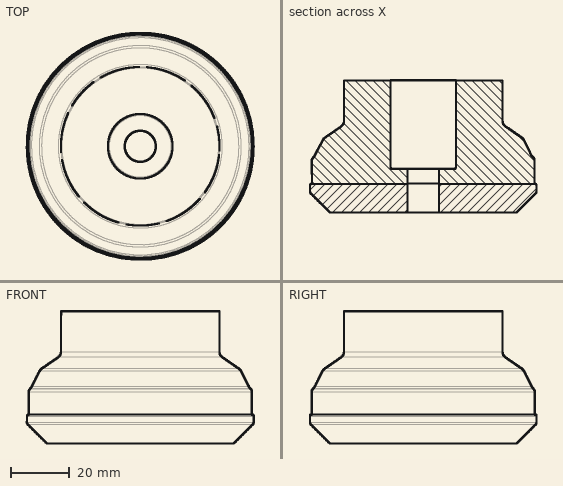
import cadquery as cq

total_height = 45.05
pad_height = 9.85

pad_radius = 77.22 / 2
pad_bottom_radius = 31.8
pad_flank_height = pad_radius - pad_bottom_radius
pad_corner_round = 1.0
pad_top_round = 0.6

neck_radius = 54.0 / 2
neck_base_z = 30.0
neck_top_round = 0.35
neck_base_round = 2.0
shoulder_radius = 34.05
shoulder_z = 25.15
shoulder_round = 2.5
rim_radius = 76.01 / 2
rim_top_z = 18.15
rim_top_round = 1.4
rim_bevel = 0.85
bevel_radius = rim_radius - rim_bevel
bevel_top_z = rim_top_z + rim_bevel
bevel_round = 2.5

bolt_hole_radius = 10.5 / 2
counterbore_radius = 22.01 / 2
housing_floor_thickness = 5.0
counterbore_floor_z = pad_height + housing_floor_thickness
counterbore_floor_round = 0.5

selection_margin = 0.02


def round_edge(body, radius, z, round_radius):
    """Fillet the circular edge of the given radius, centred on the Z axis at height z."""
    reach = radius + selection_margin
    level = cq.selectors.BoxSelector(
        (-reach, -reach, z - selection_margin),
        (reach, reach, z + selection_margin),
        boundingbox=True,
    )
    outermost = cq.selectors.RadiusNthSelector(-1)
    return body.edges("%CIRCLE").edges(level).edges(outermost).fillet(round_radius)


def revolve_outline(points):
    """Revolve a closed (radius, z) outline around the Z axis."""
    return cq.Workplane("XZ").polyline(points).close().revolve(360, (0, 0, 0), (0, 1, 0))


def make_pad():
    pad = revolve_outline([
        (bolt_hole_radius, 0),
        (pad_bottom_radius, 0),
        (pad_radius, pad_flank_height),
        (pad_radius, pad_height),
        (bolt_hole_radius, pad_height),
    ])
    pad = round_edge(pad, pad_radius, pad_flank_height, pad_corner_round)
    return round_edge(pad, pad_radius, pad_height, pad_top_round)


def make_housing():
    housing = revolve_outline([
        (bolt_hole_radius, pad_height),
        (rim_radius, pad_height),
        (rim_radius, rim_top_z),
        (bevel_radius, bevel_top_z),
        (shoulder_radius, shoulder_z),
        (neck_radius, neck_base_z),
        (neck_radius, total_height),
        (counterbore_radius, total_height),
        (counterbore_radius, counterbore_floor_z),
        (bolt_hole_radius, counterbore_floor_z),
    ])
    rounds = [
        (rim_radius, rim_top_z, rim_top_round),
        (bevel_radius, bevel_top_z, bevel_round),
        (shoulder_radius, shoulder_z, shoulder_round),
        (neck_radius, neck_base_z, neck_base_round),
        (neck_radius, total_height, neck_top_round),
        (counterbore_radius, counterbore_floor_z, counterbore_floor_round),
    ]
    for radius, z, round_radius in rounds:
        housing = round_edge(housing, radius, z, round_radius)
    return housing


pad = make_pad()
housing = make_housing()
result = cq.Compound.makeCompound([pad.val(), housing.val()])